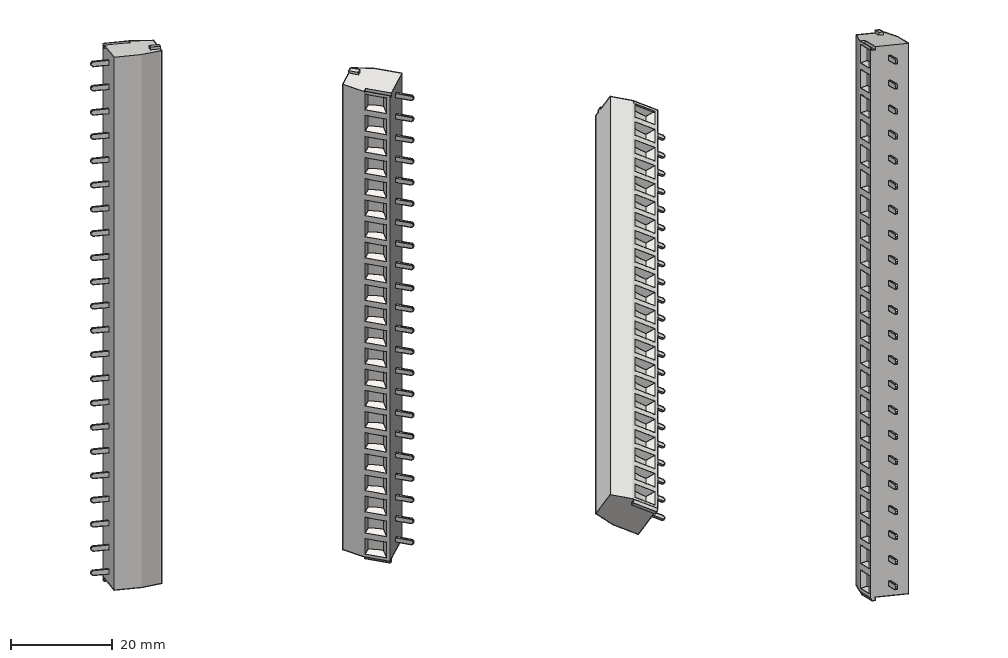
import cadquery as cq

pole_count = 22
total_height = 112.8
body_width = 8.1
body_depth = 10.0
total_depth = 13.6

rear_inset = 1.0
rear_land = 0.3
flange_depth = 5.6

tongue_height = 0.7
tongue_tip_start = 0.3
tongue_width = 1.0
tongue_length = 5.3
peg_height = 0.6
peg_width = 1.0
peg_length = 2.0
peg_x = 5.1

body_height = total_height - tongue_height - peg_height
pitch = body_height / pole_count

window_height = 3.7
window_near = 0.7
window_far = 5.1
window_floor_near = 1.8
window_floor_far = 4.8
window_depth = 1.6
window_floor_rise = 0.3
window_floor_height = 2.7

pin_length = total_depth - body_depth
pin_thickness = 0.5
pin_width = 1.0
pin_tip_chamfer = 0.3


def make_housing():
    rear_left = rear_inset
    rear_right = body_width - rear_inset
    land_start = body_depth - rear_land
    outline = [
        (0, 0),
        (body_width, 0),
        (body_width, flange_depth),
        (rear_right, land_start),
        (rear_right, body_depth),
        (rear_left, body_depth),
        (rear_left, land_start),
        (0, flange_depth),
    ]
    return cq.Workplane("XY").polyline(outline).close().extrude(body_height)


def make_tongue(base_z):
    """Slanted tongue hanging below base_z, against the -X side."""
    tip_z = base_z - tongue_height
    section = [
        (0, base_z),
        (tongue_tip_start, tip_z),
        (tongue_width, tip_z),
        (tongue_width, base_z),
    ]
    return cq.Workplane("XZ").polyline(section).close().extrude(-tongue_length)


def make_peg():
    peg = cq.Workplane("XY").box(peg_width, peg_length, peg_height, centered=False)
    return peg.translate((peg_x, body_depth - peg_length, body_height))


def make_window(center_z):
    """Cavity with a gently curved floor, narrowing in height as it goes in."""
    floor_run = window_floor_far - window_floor_near
    floor_radius = (floor_run**2 + window_floor_rise**2) / (2 * window_floor_rise)
    floor_end = (window_depth - window_floor_rise, window_floor_far)
    half_mouth = window_height / 2
    half_floor = window_floor_height / 2
    height_profile = [
        (0, -half_mouth),
        (window_depth, -half_floor),
        (window_depth, half_floor),
        (0, half_mouth),
    ]
    across = (
        cq.Workplane("XY").workplane(offset=-half_mouth)
        .moveTo(0, window_near)
        .lineTo(window_depth, window_floor_near)
        .radiusArc(floor_end, -floor_radius)
        .lineTo(0, window_far)
        .close()
        .extrude(window_height)
    )
    along = cq.Workplane("XZ").polyline(height_profile).close().extrude(-window_far)
    return across.intersect(along).translate((0, 0, center_z))


def make_pin(center_z):
    return (
        cq.Workplane("XZ")
        .center(body_width / 2, center_z)
        .rect(pin_thickness, pin_width)
        .extrude(pin_length)
        .faces("<Y").edges("|X").chamfer(pin_tip_chamfer)
    )


result = make_housing().union(make_tongue(0)).union(make_peg())
result = result.cut(make_tongue(body_height))

for pole in range(pole_count):
    pole_z = (pole + 0.5) * pitch
    result = result.cut(make_window(pole_z)).union(make_pin(pole_z))